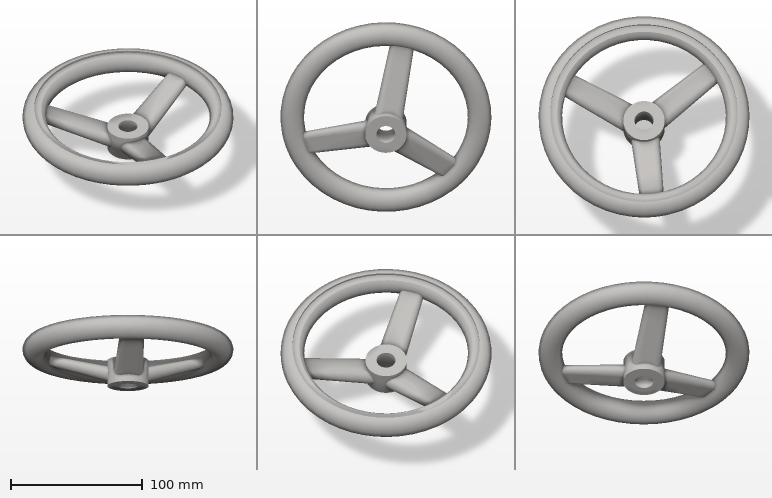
import cadquery as cq
import math

outer_radius = 80.0
rim_tube_radius = 9.0
rim_ring_radius = outer_radius - rim_tube_radius
total_height = 37.5
rim_center_z = total_height - rim_tube_radius
ledge_depth = 1.8

hub_radius = 15.7
hub_height = 19.8
bore_radius = 7.2

spoke_count = 3
first_spoke_angle = 90.0
spoke_start_z = 5.8
spoke_flat_width = 11.2
spoke_hub_thickness = 11.4
spoke_rim_thickness = 6.7


def make_rim():
    tube = (
        cq.Workplane("XZ")
        .center(rim_ring_radius, rim_center_z)
        .circle(rim_tube_radius)
        .revolve(360, (-rim_ring_radius, 0), (-rim_ring_radius, 1))
    )
    ledge_cut = (
        cq.Workplane("XY")
        .workplane(offset=total_height - ledge_depth)
        .circle(rim_ring_radius)
        .extrude(2 * ledge_depth)
    )
    return tube.cut(ledge_cut)


def make_spoke(angle):
    """Loft along +X, climbing from the hub axis to the rim center, then turned about Z."""
    rise = rim_center_z - spoke_start_z
    section_plane = cq.Plane(
        origin=(0, 0, spoke_start_z),
        xDir=(0, 1, 0),
        normal=(rim_ring_radius, 0, rise),
    )
    spoke = (
        cq.Workplane(section_plane)
        .slot2D(spoke_flat_width + spoke_hub_thickness, spoke_hub_thickness)
        .workplane(offset=math.hypot(rim_ring_radius, rise))
        .slot2D(spoke_flat_width + spoke_rim_thickness, spoke_rim_thickness)
        .loft(ruled=True)
    )
    return spoke.rotate((0, 0, 0), (0, 0, 1), angle)


hub = cq.Workplane("XY").circle(hub_radius).extrude(hub_height)
bore = cq.Workplane("XY").circle(bore_radius).extrude(total_height)

result = make_rim().union(hub)
for spoke_index in range(spoke_count):
    spoke_angle = first_spoke_angle + spoke_index * 360 / spoke_count
    result = result.union(make_spoke(spoke_angle))
result = result.cut(bore)